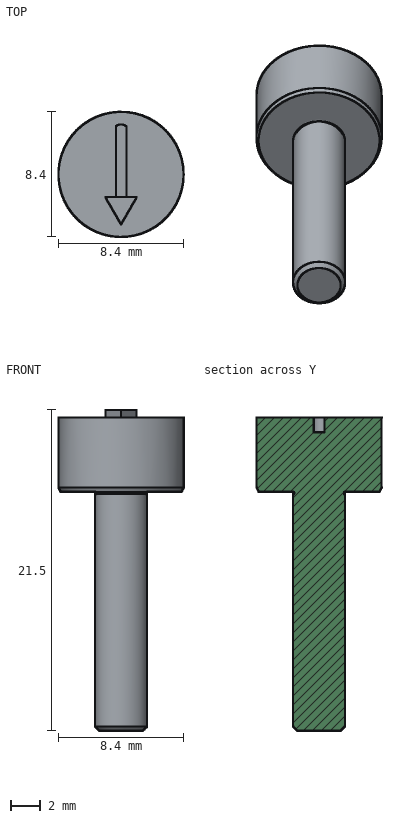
import cadquery as cq
import math

head_diameter = 8.4
head_height = 5.0
head_chamfer_height = 0.3
head_chamfer_width = 0.15
shank_diameter = 3.5
shank_length = 16.0
tip_chamfer = 0.3
neck_groove_radius = 0.075

arrow_height = 0.5
arrowhead_side = 2.1
arrowhead_base_y = -1.53
slot_width = 0.7
slot_depth = 1.0
slot_end_y = 3.35
slot_end_radius = 0.5

head_radius = head_diameter / 2
shank_radius = shank_diameter / 2
head_top_z = shank_length + head_height


def make_turned_body():
    """Head and shank as one turned profile, with a round groove under the head."""
    groove_bottom_z = shank_length - 2 * neck_groove_radius
    groove_floor = (shank_radius - neck_groove_radius, shank_length - neck_groove_radius)
    profile = (
        cq.Workplane("XZ")
        .moveTo(0, 0)
        .lineTo(shank_radius - tip_chamfer, 0)
        .lineTo(shank_radius, tip_chamfer)
        .lineTo(shank_radius, groove_bottom_z)
        .threePointArc(groove_floor, (shank_radius, shank_length))
        .lineTo(head_radius - head_chamfer_width, shank_length)
        .lineTo(head_radius, shank_length + head_chamfer_height)
        .lineTo(head_radius, head_top_z)
        .lineTo(0, head_top_z)
        .close()
    )
    return profile.revolve(360, (0, 0, 0), (0, 1, 0))


def make_arrow_slot():
    """Sunken arrow shaft, with a shallow arc at its far end."""
    half_width = slot_width / 2
    arc_rise = slot_end_radius - math.sqrt(slot_end_radius**2 - half_width**2)
    corner_y = slot_end_y - arc_rise
    return (
        cq.Workplane("XY", origin=(0, 0, head_top_z))
        .moveTo(-half_width, arrowhead_base_y)
        .lineTo(half_width, arrowhead_base_y)
        .lineTo(half_width, corner_y)
        .threePointArc((0, slot_end_y), (-half_width, corner_y))
        .close()
        .extrude(-slot_depth)
    )


def make_arrowhead():
    """Raised equilateral triangle that starts where the slot ends."""
    tip_y = arrowhead_base_y - arrowhead_side * math.sqrt(3) / 2
    return (
        cq.Workplane("XY", origin=(0, 0, head_top_z))
        .moveTo(-arrowhead_side / 2, arrowhead_base_y)
        .lineTo(0, tip_y)
        .lineTo(arrowhead_side / 2, arrowhead_base_y)
        .close()
        .extrude(arrow_height)
    )


result = make_turned_body().cut(make_arrow_slot()).union(make_arrowhead())